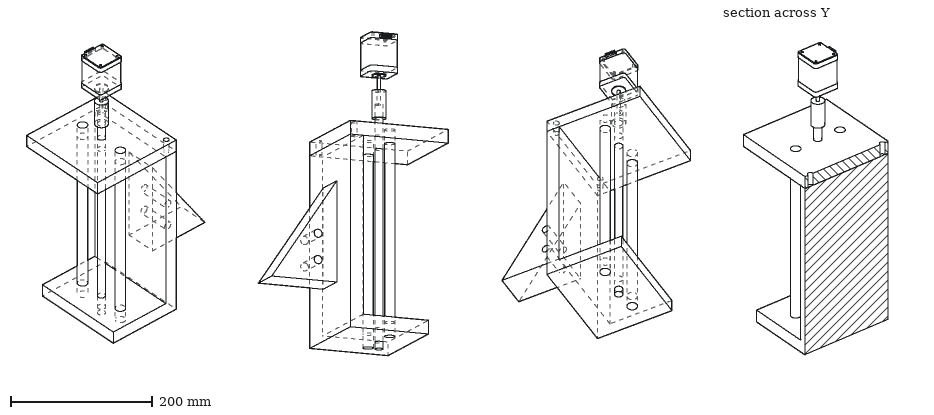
import cadquery as cq


frame_width = 150.0
frame_height = 300.0
plate_thickness = 20.0
top_plate_depth = frame_width
shelf_depth = 120.0
back_y = top_plate_depth / 2
wall_front_y = back_y - plate_thickness
wall_top_z = frame_height - plate_thickness

bracket_width = 50.0
bracket_reach = 99.5
bracket_height = 147.0
bracket_base_z = 75.5
bracket_hole_diameter = 12.0
bracket_hole_y = back_y + 28.5
bracket_hole_rise = 30.0
bracket_hole_spacing = 38.0

bolt_diameter = 8.0
bolt_side_margin = 10.0
bolt_x = frame_width / 2 - bolt_side_margin
bolt_y = back_y - plate_thickness / 2

rod_diameter = 15.0
rod_spacing = 80.0
rod_points = [(-rod_spacing / 2, 0), (rod_spacing / 2, 0)]

screw_diameter = 12.0
screw_tail = 10.0
screw_neck = 25.0
coupling_diameter = 20.0
coupling_length = 40.0
coupling_base_z = frame_height + screw_neck
coupling_top_z = coupling_base_z + coupling_length
coupling_middle_z = coupling_base_z + coupling_length / 2

motor_body_width = 42.5
motor_cap_width = 42.0
motor_height = 57.0
motor_cap_height = 8.5
motor_cap_corner = 3.0
motor_body_corner = 5.5
motor_top_chamfer = 1.0
motor_clearance = 23.0
motor_base_z = coupling_top_z + motor_clearance
motor_top_z = motor_base_z + motor_height
pilot_diameter = 20.0
pilot_height = 1.5
shaft_diameter = 5.0
motor_screw_diameter = 3.0
motor_screw_spacing = 31.5
motor_screw_depth = 4.0

socket_reach = 6.0
socket_width = 15.5
socket_height = 4.5
socket_drop = 3.5
socket_wall = 1.5
socket_depth = 4.0


def cylinder(diameter, bottom_z, top_z, points=((0, 0),)):
    """Upright cylinders at the given points."""
    return (
        cq.Workplane("XY", origin=(0, 0, bottom_z))
        .pushPoints(points)
        .circle(diameter / 2)
        .extrude(top_z - bottom_z)
    )


def slab(width, front_y, rear_y, bottom_z, top_z):
    """A block centred on X."""
    return (
        cq.Workplane("XY", origin=(0, front_y, bottom_z))
        .box(width, rear_y - front_y, top_z - bottom_z, centered=(True, False, False))
    )


def make_bracket():
    wedge = (
        cq.Workplane("YZ", origin=(-bracket_width / 2, 0, 0))
        .moveTo(back_y, bracket_base_z)
        .lineTo(back_y + bracket_reach, bracket_base_z)
        .lineTo(back_y, bracket_base_z + bracket_height)
        .close()
        .extrude(bracket_width)
    )
    lower_hole_z = bracket_base_z + bracket_hole_rise
    upper_hole_z = lower_hole_z + bracket_hole_spacing
    holes = (
        cq.Workplane("YZ", origin=(-bracket_width / 2, 0, 0))
        .pushPoints([(bracket_hole_y, lower_hole_z), (bracket_hole_y, upper_hole_z)])
        .circle(bracket_hole_diameter / 2)
        .extrude(bracket_width)
    )
    return wedge.cut(holes)


def make_frame():
    wall = slab(frame_width, wall_front_y, back_y, 0, wall_top_z)
    shelf = slab(frame_width, back_y - shelf_depth, back_y, 0, plate_thickness)
    return (
        wall.union(shelf)
        .union(make_bracket())
        .cut(cylinder(screw_diameter, 0, plate_thickness))
        .cut(cylinder(rod_diameter, 0, plate_thickness, rod_points))
    )


def make_top_plate():
    bolt_points = [(-bolt_x, bolt_y), (bolt_x, bolt_y)]
    return (
        slab(frame_width, back_y - top_plate_depth, back_y, wall_top_z, frame_height)
        .cut(cylinder(screw_diameter, wall_top_z, frame_height))
        .cut(cylinder(rod_diameter, wall_top_z, frame_height, rod_points))
        .cut(cylinder(bolt_diameter, wall_top_z, frame_height, bolt_points))
    )


def make_guide_rod(point):
    return cylinder(rod_diameter, 0, frame_height, [point])


def make_lead_screw():
    return cylinder(screw_diameter, -screw_tail, coupling_middle_z)


def make_coupling():
    """Sleeve that takes the screw in its lower half and the motor shaft in its upper half."""
    return (
        cylinder(coupling_diameter, coupling_base_z, coupling_top_z)
        .cut(cylinder(screw_diameter, coupling_base_z, coupling_middle_z))
        .cut(cylinder(shaft_diameter, coupling_middle_z, coupling_top_z))
    )


def rounded_block(width, corner_radius, bottom_z, top_z):
    """A square motor section with rounded upright edges."""
    half_width = width / 2
    return slab(width, -half_width, half_width, bottom_z, top_z).edges("|Z").fillet(corner_radius)


def make_socket():
    """Cable socket on the -X side, open at its outer end."""
    outer_x = -motor_cap_width / 2 - socket_reach
    top_z = motor_top_z - socket_drop
    middle_z = top_z - socket_height / 2
    face = cq.Workplane("YZ", origin=(outer_x, 0, middle_z))
    shell = face.rect(socket_width, socket_height).extrude(socket_reach)
    opening = face.rect(socket_width - 2 * socket_wall, socket_height - 2 * socket_wall).extrude(socket_depth)
    return shell.cut(opening)


def make_motor():
    lower_cap_top_z = motor_base_z + motor_cap_height
    upper_cap_base_z = motor_top_z - motor_cap_height
    lower_cap = rounded_block(motor_cap_width, motor_cap_corner, motor_base_z, lower_cap_top_z)
    body = rounded_block(motor_body_width, motor_body_corner, lower_cap_top_z, upper_cap_base_z)
    upper_cap = rounded_block(motor_cap_width, motor_cap_corner, upper_cap_base_z, motor_top_z)
    upper_cap = upper_cap.faces(">Z").chamfer(motor_top_chamfer)
    offset = motor_screw_spacing / 2
    screw_points = [(x, y) for x in (-offset, offset) for y in (-offset, offset)]
    return (
        lower_cap.union(body)
        .union(upper_cap)
        .cut(cylinder(motor_screw_diameter, motor_top_z - motor_screw_depth, motor_top_z, screw_points))
        .union(cylinder(pilot_diameter, motor_base_z - pilot_height, motor_base_z))
        .union(cylinder(shaft_diameter, coupling_middle_z, motor_base_z))
        .union(make_socket())
    )


frame = make_frame()
top_plate = make_top_plate()
guide_rods = [make_guide_rod(point) for point in rod_points]
lead_screw = make_lead_screw()
coupling = make_coupling()
motor = make_motor()

result = cq.Compound.makeCompound(
    [
        frame.val(),
        top_plate.val(),
        *[rod.val() for rod in guide_rods],
        lead_screw.val(),
        coupling.val(),
        motor.val(),
    ]
)